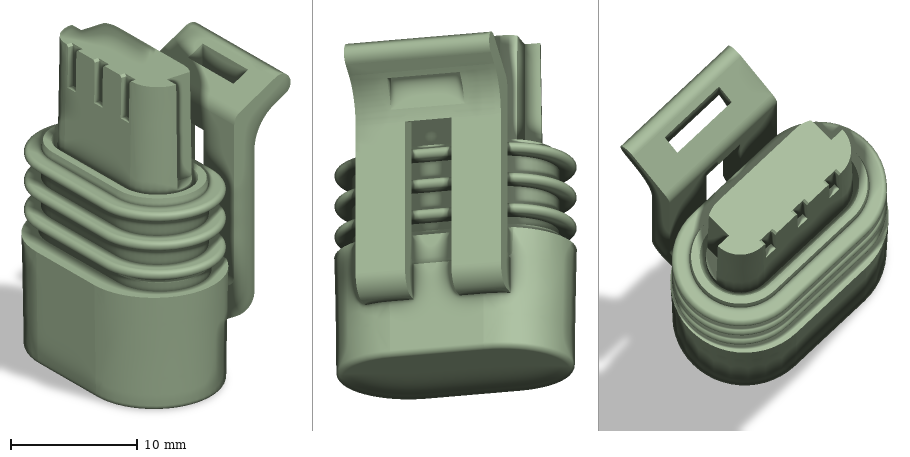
import cadquery as cq
import math

TOTAL_HEIGHT = 27.1
DRAFT = 1.0
BASE_HEIGHT = 10.0
FLANGE_TOP = 10.75

BASE_FLAT = 7.7
BASE_TOP_RADIUS = 5.9
BASE_BOTTOM_FILLET = 0.43
BACK_WALL_Y = 5.42
ROOT_FILLET = 0.45

FLANGE_FLAT = 9.21
FLANGE_RADIUS = 4.12

TOWER_FLAT = 8.67
TOWER_TOP_RADIUS = 2.57
CORNER_NOTCH_X = 5.66
CORNER_NOTCH_Y = -0.08
CORNER_NOTCH_FLOOR = 17.89
KEYWAY_PITCH = 3.52
KEYWAY_WIDTH = 1.08
KEYWAY_FLOOR_Z = 23.4
KEYWAY_FLOOR_Y = -2.1
KEYWAY_LEAD_IN = 0.2

LATCH_WIDTH = 11.92
LATCH_FRONT_Y = 6.37
LATCH_THICKNESS = 2.0
ROOT_BOTTOM = 4.53
ROOT_TOP = 7.45
HEEL_RADIUS = 1.68
HEAD_SLOPE = 30.0
BEND_START_Z = 21.35
FRONT_BEND_RADIUS = 1.15
BACK_BEND_RADIUS = 4.06
TIP_RADIUS = 0.98
TIP_END_Y = 11.95
ARM_SLOT_WIDTH = 3.8
ARM_SLOT_TOP = 19.38
HEAD_WINDOW_WIDTH = 6.02
HEAD_WINDOW_START_Y = 8.5
HEAD_WINDOW_END_Y = 9.95

SEAL_TOP = 17.97
SEAL_FLAT = TOWER_FLAT
SEAL_RADIUS = 4.06
SEAL_END_INSET = 0.15
SEAL_END_HEIGHT = 0.8
RIB_RADIUS = 5.42
RIB_THICKNESS = 0.79
RIB_PITCH = 2.55
RIB_COUNT = 3
FUNNEL_TOP_RADIUS = 3.22
FUNNEL_DEPTH = 0.8


def stadium(flat, radius, z, height, taper=0.0):
    """Stadium prism along Z, with its long axis on X; a positive taper shrinks it as it is extruded."""
    outline = cq.Workplane("XY", origin=(0, 0, z)).slot2D(flat + 2 * radius, 2 * radius)
    return outline.extrude(height, taper=taper)


def block(x_range, y_range, z_range):
    """Axis-aligned block between the given limits."""
    (x0, x1), (y0, y1), (z0, z1) = x_range, y_range, z_range
    return cq.Workplane("XY").box(x1 - x0, y1 - y0, z1 - z0, centered=False).translate((x0, y0, z0))


def make_base():
    bottom_radius = BASE_TOP_RADIUS - BASE_HEIGHT * math.tan(math.radians(DRAFT))
    base = stadium(BASE_FLAT, bottom_radius, 0, BASE_HEIGHT, -DRAFT)
    base = base.faces("<Z").edges().fillet(BASE_BOTTOM_FILLET)
    rear_cut = block(
        (-LATCH_WIDTH, LATCH_WIDTH),
        (BACK_WALL_Y, BACK_WALL_Y + BASE_TOP_RADIUS),
        (ROOT_TOP, TOTAL_HEIGHT),
    )
    rear_cut = rear_cut.edges("|X and <Y and <Z").fillet(ROOT_FILLET)
    return base.cut(rear_cut)


def tower_blank():
    """Tower without notches or keyways, also the shape of the seal's bore."""
    height = TOTAL_HEIGHT - BASE_HEIGHT
    bottom_radius = TOWER_TOP_RADIUS + height * math.tan(math.radians(DRAFT))
    return stadium(TOWER_FLAT, bottom_radius, BASE_HEIGHT, height, DRAFT)


def make_keyway():
    """Cutter for one keyway at X = 0, with flared sides at the tower's top."""
    half = KEYWAY_WIDTH / 2
    flared = half + KEYWAY_LEAD_IN
    flare_z = TOTAL_HEIGHT - KEYWAY_LEAD_IN
    outline = [
        (-half, KEYWAY_FLOOR_Z),
        (half, KEYWAY_FLOOR_Z),
        (half, flare_z),
        (flared, TOTAL_HEIGHT),
        (-flared, TOTAL_HEIGHT),
        (-half, flare_z),
    ]
    depth = BASE_TOP_RADIUS + KEYWAY_FLOOR_Y
    return cq.Workplane("XZ", origin=(0, KEYWAY_FLOOR_Y, 0)).polyline(outline).close().extrude(depth)


def make_tower():
    tower = tower_blank()
    notch = block(
        (CORNER_NOTCH_X, LATCH_WIDTH),
        (CORNER_NOTCH_Y, BASE_TOP_RADIUS),
        (CORNER_NOTCH_FLOOR, TOTAL_HEIGHT),
    )
    tower = tower.cut(notch).cut(notch.mirror("YZ"))
    for position in (-1, 0, 1):
        tower = tower.cut(make_keyway().translate((position * KEYWAY_PITCH, 0, 0)))
    return tower


def latch_profile():
    """Side outline of the latch in (Y, Z): root, upright arm and sloped head with a round tip."""
    slope = math.radians(HEAD_SLOPE)
    along = (math.cos(slope), math.sin(slope))
    normal = (-math.sin(slope), math.cos(slope))
    back_y = LATCH_FRONT_Y + LATCH_THICKNESS
    root_y = BACK_WALL_Y - ROOT_FILLET

    bend_center_y = LATCH_FRONT_Y + FRONT_BEND_RADIUS
    half_turn = (math.pi / 2 - slope) / 2
    bend_middle = (
        bend_center_y - FRONT_BEND_RADIUS * math.cos(half_turn),
        BEND_START_Z + FRONT_BEND_RADIUS * math.sin(half_turn),
    )
    bend_end = (
        bend_center_y + FRONT_BEND_RADIUS * normal[0],
        BEND_START_Z + FRONT_BEND_RADIUS * normal[1],
    )

    tip_center_y = TIP_END_Y - TIP_RADIUS
    tip_top_y = tip_center_y + TIP_RADIUS * normal[0]
    tip_top_z = bend_end[1] + (tip_top_y - bend_end[0]) * math.tan(slope)
    tip_center_z = tip_top_z - TIP_RADIUS * normal[1]
    tip_middle = (tip_center_y + TIP_RADIUS * along[0], tip_center_z + TIP_RADIUS * along[1])
    tip_bottom = (tip_center_y - TIP_RADIUS * normal[0], tip_center_z - TIP_RADIUS * normal[1])

    back_center_y = back_y + BACK_BEND_RADIUS
    back_start_y = back_center_y + BACK_BEND_RADIUS * normal[0]
    back_start_z = tip_bottom[1] - (tip_bottom[0] - back_start_y) * math.tan(slope)
    back_center_z = back_start_z - BACK_BEND_RADIUS * normal[1]
    back_middle = (
        back_center_y - BACK_BEND_RADIUS * math.cos(half_turn),
        back_center_z + BACK_BEND_RADIUS * math.sin(half_turn),
    )

    return (
        cq.Workplane("YZ", origin=(-LATCH_WIDTH / 2, 0, 0))
        .moveTo(root_y, ROOT_TOP)
        .lineTo(LATCH_FRONT_Y - ROOT_FILLET, ROOT_TOP)
        .radiusArc((LATCH_FRONT_Y, ROOT_TOP + ROOT_FILLET), -ROOT_FILLET)
        .lineTo(LATCH_FRONT_Y, BEND_START_Z)
        .threePointArc(bend_middle, bend_end)
        .lineTo(tip_top_y, tip_top_z)
        .threePointArc(tip_middle, tip_bottom)
        .lineTo(back_start_y, back_start_z)
        .threePointArc(back_middle, (back_y, back_center_z))
        .lineTo(back_y, ROOT_BOTTOM + HEEL_RADIUS)
        .radiusArc((back_y - HEEL_RADIUS, ROOT_BOTTOM), HEEL_RADIUS)
        .lineTo(root_y, ROOT_BOTTOM)
        .close()
    )


def make_latch():
    latch = latch_profile().extrude(LATCH_WIDTH)
    half_slot = ARM_SLOT_WIDTH / 2
    arm_slot = block(
        (-half_slot, half_slot),
        (BACK_WALL_Y, LATCH_FRONT_Y + LATCH_THICKNESS),
        (ROOT_BOTTOM, ARM_SLOT_TOP),
    )
    half_window = HEAD_WINDOW_WIDTH / 2
    head_window = block(
        (-half_window, half_window),
        (HEAD_WINDOW_START_Y, HEAD_WINDOW_END_Y),
        (ROOT_TOP, TOTAL_HEIGHT),
    )
    return latch.cut(arm_slot).cut(head_window)


def make_housing():
    flange = stadium(FLANGE_FLAT, FLANGE_RADIUS, BASE_HEIGHT, FLANGE_TOP - BASE_HEIGHT)
    return make_base().union(flange).union(make_tower()).union(make_latch())


def make_rib(middle_z):
    """Stadium disc with a fully rounded rim, centred on the given height; its bore is cut later."""
    half = RIB_THICKNESS / 2
    core_radius = RIB_RADIUS - half
    disc = stadium(SEAL_FLAT, core_radius, middle_z - half, RIB_THICKNESS)
    rim_path = cq.Workplane("XY", origin=(0, 0, middle_z)).slot2D(SEAL_FLAT + 2 * core_radius, 2 * core_radius)
    rim_section = cq.Workplane("YZ", origin=(0, 0, middle_z)).center(core_radius, 0).circle(half)
    return disc.union(rim_section.sweep(rim_path))


def make_funnel():
    """Tapered cutter that opens the bore at the seal's top."""
    bottom_z = SEAL_TOP - FUNNEL_DEPTH
    bottom_radius = TOWER_TOP_RADIUS + (TOTAL_HEIGHT - bottom_z) * math.tan(math.radians(DRAFT))
    taper = math.degrees(math.atan((FUNNEL_TOP_RADIUS - bottom_radius) / FUNNEL_DEPTH))
    return stadium(SEAL_FLAT, bottom_radius, bottom_z, FUNNEL_DEPTH, -taper)


def make_seal():
    end_taper = math.degrees(math.atan(SEAL_END_INSET / SEAL_END_HEIGHT))
    end_radius = SEAL_RADIUS - SEAL_END_INSET
    upper_end_z = SEAL_TOP - SEAL_END_HEIGHT
    lower_end_z = FLANGE_TOP + SEAL_END_HEIGHT
    seal = stadium(SEAL_FLAT, SEAL_RADIUS, lower_end_z, upper_end_z - lower_end_z)
    seal = seal.union(stadium(SEAL_FLAT, end_radius, FLANGE_TOP, SEAL_END_HEIGHT, -end_taper))
    seal = seal.union(stadium(SEAL_FLAT, SEAL_RADIUS, upper_end_z, SEAL_END_HEIGHT, end_taper))

    middle_z = (FLANGE_TOP + SEAL_TOP) / 2
    for index in range(RIB_COUNT):
        rib_z = middle_z + (index - (RIB_COUNT - 1) / 2) * RIB_PITCH
        seal = seal.union(make_rib(rib_z))

    return seal.cut(tower_blank()).cut(make_funnel())


housing = make_housing()
seal = make_seal()
result = cq.Compound.makeCompound([housing.val(), seal.val()])